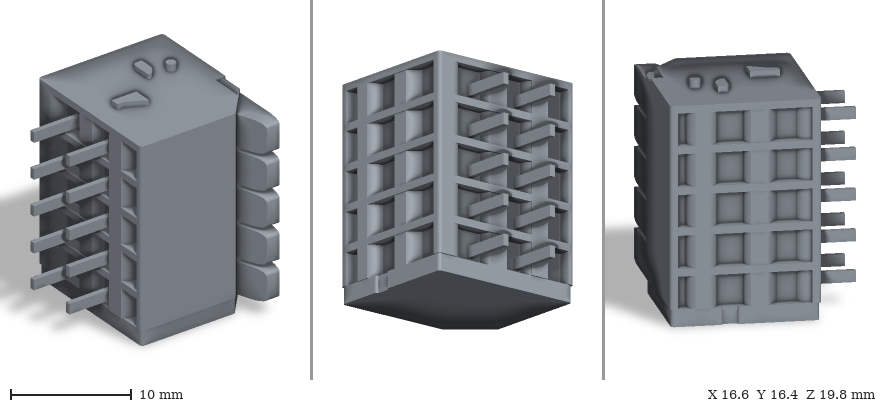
import math

import cadquery as cq


POLES = 5
PITCH = 3.5
PLATE = 0.65
WINDOW = PITCH - PLATE
WIDTH = 14.5
DEPTH = 12.75
BASE_HEIGHT = 1.5
CORNER_RADIUS = 0.3
SLOPE_START_X = 10.9
SLOPE_END_Y = 9.65
SIDE_INSET = 0.1
FRONT_INSET = 0.15
STACK_HEIGHT = POLES * PITCH
TOP = BASE_HEIGHT + STACK_HEIGHT

WALL_CENTRE_DEPTH = 1.0
WALL_RADIUS = 1.08
WIDE_WALL_RADIUS = WALL_CENTRE_DEPTH
FLOOR_FILLET = 0.13
POCKET_DEPTH = WALL_CENTRE_DEPTH + FLOOR_FILLET
OVERSHOOT = 0.5

FRONT_POCKET_LEFT = 1.54
FRONT_LAND_START = 5.64
FRONT_LAND_END = 7.38
FRONT_POCKET_RIGHT = 9.98
CORNER_POCKET_LEFT = 11.69
CORNER_POCKET_RIGHT = 13.9

REAR_POCKET_START = 0.65
REAR_POCKET_END = 2.17
SIDE_POCKET_START = 3.38
SIDE_LAND_START = 6.82
SIDE_LAND_END = 8.29
SIDE_POCKET_END = 11.96
SLANT_ANGLE = 51.5
SHOULDER_RADIUS = 1.12
SHOULDER_TOP_DEPTH = 0.45
SHOULDER_FILLET = 0.15

SLOT_Y_MIN = 6.77
SLOT_Y_MAX = 8.54
SLOT_DEPTH = 0.25

PIN_COUNT = 2
PIN_WIDTH = 0.5
PIN_HEIGHT = 1.0
PIN_LENGTH = 3.6
PIN_FIRST_X = 4.17
PIN_SPACING = 5.0
PIN_BELOW_POLE_TOP = 2.48
PIN_ANCHOR = 1.0

LEVER_TIP_X = 16.58
LEVER_HEIGHT = 3.1
LEVER_ROOT_X = 9.5
LEVER_HEEL = (13.72, 10.4)
LEVER_TIP_Y = 11.45
LEVER_CROWN_X = 15.1
LEVER_CROWN_RADIUS = 3.5
LEVER_CROWN_ANGLE = 18
LEVER_NOSE_RADIUS = 0.45
LEVER_NOSE_ANGLE = 70
LEVER_TIP_FILLET = 0.2

STUD_DIAMETER = 0.9
STUD_HEIGHT = 0.75
STUD_CENTRE = (5.38, 9.68)
BOSS_HEIGHT = 0.55

LEAF_LEFT = 3.45
LEAF_RIGHT = 5.7
LEAF_BOTTOM = 7.14
LEAF_TOP = 8.1
LEAF_CURVE_X = 4.7
LEAF_CURVE_MIDDLE = (5.27, 7.86)
LEAF_TIP_Y = 7.45
LEAF_CORNER_RADIUS = 0.4
LEAF_TIP_RADIUS = 0.12

WEDGE_LEFT = 7.44
WEDGE_RIGHT = 9.24
WEDGE_FOOT_RIGHT = 8.28
WEDGE_BOTTOM = 2.12
WEDGE_FOOT_TOP = 2.84
WEDGE_TOP = 4.66

GRIP_START_X = 8.87
GRIP_SECTION = [(0, 0.31), (0.3, 0.1), (0.46, 0.2), (0.7, 0.31), (0.88, 0.31), (1.08, 0.15), (1.08, 0)]


def housing_outline(left, front, right, back):
    """Closed plan outline of the housing with its sloped corner."""
    return (
        cq.Workplane("XY")
        .moveTo(left, front)
        .lineTo(right, front)
        .lineTo(right, SLOPE_END_Y)
        .lineTo(SLOPE_START_X, back)
        .lineTo(left, back)
        .close()
    )


def housing_block(height, left, front, right, back):
    """Housing outline extruded upwards, with its three square corners rounded."""
    block = housing_outline(left, front, right, back).extrude(height)
    for x, y in ((left, front), (right, front), (left, back)):
        block = block.edges(cq.selectors.NearestToPointSelector((x, y, height / 2))).fillet(CORNER_RADIUS)
    return block




def arc_segment(centre, radius, start_angle, end_angle):
    """Arc around centre, with its angles measured from the outward face normal towards +u."""
    points = []
    for angle in (start_angle, (start_angle + end_angle) / 2, end_angle):
        a = math.radians(angle)
        points.append((centre[0] + radius * math.sin(a), centre[1] - radius * math.cos(a)))
    return tuple(points)


def floor_fillet(u):
    """Concave fillet between an upright wall at u and the pocket floor."""
    return arc_segment((u + FLOOR_FILLET, WALL_CENTRE_DEPTH), FLOOR_FILLET, 270, 180)


def straight_wall():
    """Upright wall with a filleted foot."""
    return [((0, -OVERSHOOT), (0, WALL_CENTRE_DEPTH)), floor_fillet(0)]


def rounded_wall(start_depth, radius=WALL_RADIUS):
    """Convex wall: upright down to start_depth, then curving until it is upright again."""
    start_angle = math.degrees(math.acos((WALL_CENTRE_DEPTH - start_depth) / radius))
    centre_u = -radius * math.sin(math.radians(start_angle))
    curve = arc_segment((centre_u, WALL_CENTRE_DEPTH), radius, start_angle, 90)
    return [((0, -OVERSHOOT), curve[0]), curve, floor_fillet(centre_u + radius)]


def slanted_wall(start_depth):
    """Convex rounding that runs out into a slanted plane down to the floor."""
    start_angle = math.degrees(math.acos((WALL_CENTRE_DEPTH - start_depth) / WALL_RADIUS))
    centre_u = -WALL_RADIUS * math.sin(math.radians(start_angle))
    curve = arc_segment((centre_u, WALL_CENTRE_DEPTH), WALL_RADIUS, start_angle, SLANT_ANGLE)
    slant_u, slant_depth = curve[-1]
    foot_u = slant_u + (POCKET_DEPTH - slant_depth) / math.tan(math.radians(SLANT_ANGLE))
    return [((0, -OVERSHOOT), curve[0]), curve, (curve[-1], (foot_u, POCKET_DEPTH))]


def shoulder_wall():
    """Upright wall, small fillet, then a convex shoulder that falls to the floor."""
    fillet = arc_segment(
        (SHOULDER_FILLET, SHOULDER_TOP_DEPTH - SHOULDER_FILLET), SHOULDER_FILLET, 270, 180
    )
    centre_depth = SHOULDER_TOP_DEPTH + SHOULDER_RADIUS
    end_angle = math.degrees(math.acos((centre_depth - POCKET_DEPTH) / SHOULDER_RADIUS))
    shoulder = arc_segment((SHOULDER_FILLET, centre_depth), SHOULDER_RADIUS, 0, end_angle)
    return [((0, -OVERSHOOT), fillet[0]), fillet, shoulder]


def pocket_cutter(start, end, start_wall, end_wall, to_plan):
    """Pocket between two walls; to_plan turns (u, v) on a face into (x, y)."""
    down = [[(start + u, v) for u, v in segment] for segment in start_wall]
    up = [[(end - u, v) for u, v in reversed(segment)] for segment in reversed(end_wall)]
    floor = [down[-1][-1], up[0][0]]
    section = cq.Workplane("XY").moveTo(*to_plan(*down[0][0]))
    for segment in down + [floor] + up:
        points = [to_plan(u, v) for u, v in segment[1:]]
        section = section.lineTo(*points[0]) if len(points) == 1 else section.threePointArc(*points)
    return section.close().extrude(WINDOW)


def land_cutter(start, end, inset, to_plan):
    """Shallow recess between two neighbouring pockets."""
    corners = [(start, -OVERSHOOT), (end, -OVERSHOOT), (end, inset), (start, inset)]
    return cq.Workplane("XY").polyline([to_plan(u, v) for u, v in corners]).close().extrude(WINDOW)


def on_front(u, v):
    """Plan point on the -Y face: u runs towards +X."""
    return u, v


def on_side(u, v):
    """Plan point on the -X face: u runs from the +Y side towards -Y."""
    return v, DEPTH - u


def pole():
    """One pole of the housing with its lower face at Z = 0."""
    front_land = rounded_wall(FRONT_INSET)
    side_land = rounded_wall(SIDE_INSET)
    wide = rounded_wall(0, WIDE_WALL_RADIUS)
    flush = rounded_wall(0)
    cutters = [
        pocket_cutter(FRONT_POCKET_LEFT, FRONT_LAND_START, wide, front_land, on_front),
        pocket_cutter(FRONT_LAND_END, FRONT_POCKET_RIGHT, front_land, front_land, on_front),
        pocket_cutter(CORNER_POCKET_LEFT, CORNER_POCKET_RIGHT, front_land, straight_wall(), on_front),
        land_cutter(FRONT_LAND_START, FRONT_LAND_END, FRONT_INSET, on_front),
        pocket_cutter(REAR_POCKET_START, REAR_POCKET_END, straight_wall(), flush, on_side),
        pocket_cutter(SIDE_POCKET_START, SIDE_LAND_START, flush, side_land, on_side),
        pocket_cutter(SIDE_LAND_END, SIDE_POCKET_END, slanted_wall(SIDE_INSET), shoulder_wall(), on_side),
        land_cutter(SIDE_LAND_START, SIDE_LAND_END, SIDE_INSET, on_side),
    ]
    block = housing_block(PITCH, 0, 0, WIDTH, DEPTH)
    for cutter in cutters:
        block = block.cut(cutter)
    for i in range(PIN_COUNT):
        block = block.union(pin(PIN_FIRST_X + i * PIN_SPACING))
    return block.union(lever())


def pin(x):
    """Solder pin leaving the pocket floor towards -Y."""
    length = PIN_LENGTH + POCKET_DEPTH + PIN_ANCHOR
    centre_y = POCKET_DEPTH + PIN_ANCHOR - length / 2
    blank = cq.Workplane("XY").box(PIN_WIDTH, length, PIN_HEIGHT)
    return blank.translate((x, centre_y, PITCH - PIN_BELOW_POLE_TOP))


def lever():
    """Actuating lever: a tapered plan outline cut to a rounded tip in side profile."""
    plan = (
        cq.Workplane("XY")
        .moveTo(LEVER_ROOT_X, DEPTH)
        .lineTo(LEVER_TIP_X, DEPTH)
        .lineTo(LEVER_TIP_X, LEVER_TIP_Y)
        .lineTo(*LEVER_HEEL)
        .close()
        .extrude(LEVER_HEIGHT)
        .edges("|Z and >X")
        .fillet(LEVER_TIP_FILLET)
    )
    half = LEVER_HEIGHT / 2
    crown = arc_segment((LEVER_CROWN_X, LEVER_CROWN_RADIUS - half), LEVER_CROWN_RADIUS, 0, LEVER_CROWN_ANGLE)
    nose_start = math.radians(LEVER_CROWN_ANGLE)
    nose_centre = (
        crown[-1][0] - LEVER_NOSE_RADIUS * math.sin(nose_start),
        crown[-1][1] + LEVER_NOSE_RADIUS * math.cos(nose_start),
    )
    nose = arc_segment(nose_centre, LEVER_NOSE_RADIUS, LEVER_CROWN_ANGLE, LEVER_NOSE_ANGLE)
    nose_end_x, nose_end_z = nose[-1]
    profile = (
        cq.Workplane("XZ")
        .moveTo(LEVER_ROOT_X, half)
        .lineTo(LEVER_CROWN_X, half)
        .threePointArc(*[(x, -z) for x, z in crown[1:]])
        .threePointArc(*[(x, -z) for x, z in nose[1:]])
        .threePointArc((LEVER_TIP_X, 0), (nose_end_x, nose_end_z))
        .threePointArc(nose[1], nose[0])
        .threePointArc(crown[1], crown[0])
        .lineTo(LEVER_ROOT_X, -half)
        .close()
        .extrude(-DEPTH)
    )
    return plan.intersect(profile.translate((0, 0, half))).translate((0, 0, WINDOW - LEVER_HEIGHT))


def base():
    """Lower closing plate with a shallow upright slot, rounded at both flanks, in its -X face."""
    block = housing_block(BASE_HEIGHT, SIDE_INSET, FRONT_INSET, WIDTH - SIDE_INSET, DEPTH - SIDE_INSET)
    slot = cq.Workplane("XY").box(SLOT_DEPTH, SLOT_Y_MAX - SLOT_Y_MIN, BASE_HEIGHT, centered=False)
    slot = slot.translate((SIDE_INSET, SLOT_Y_MIN, 0))
    for flank_y in (SLOT_Y_MIN, SLOT_Y_MAX):
        rounding = cq.Workplane("XY").center(SIDE_INSET + SLOT_DEPTH, flank_y).circle(SLOT_DEPTH)
        slot = slot.cut(rounding.extrude(BASE_HEIGHT))
    return block.cut(slot)


def stud():
    """Round locating stud."""
    return cq.Workplane("XY").center(*STUD_CENTRE).circle(STUD_DIAMETER / 2).extrude(STUD_HEIGHT)


def leaf_boss():
    """Boss with a curved slope towards +X and rounded lower corners."""
    return (
        cq.Workplane("XY")
        .moveTo(LEAF_LEFT, LEAF_TOP)
        .lineTo(LEAF_CURVE_X, LEAF_TOP)
        .threePointArc(LEAF_CURVE_MIDDLE, (LEAF_RIGHT, LEAF_TIP_Y))
        .lineTo(LEAF_RIGHT, LEAF_BOTTOM)
        .lineTo(LEAF_LEFT, LEAF_BOTTOM)
        .close()
        .extrude(BOSS_HEIGHT)
        .edges("|Z and <X and <Y")
        .fillet(LEAF_CORNER_RADIUS)
        .edges(cq.selectors.NearestToPointSelector((LEAF_RIGHT, LEAF_BOTTOM, BOSS_HEIGHT / 2)))
        .fillet(LEAF_TIP_RADIUS)
    )


def wedge_boss():
    """Boss whose +X side slants outwards above a narrow foot."""
    return (
        cq.Workplane("XY")
        .moveTo(WEDGE_LEFT, WEDGE_BOTTOM)
        .lineTo(WEDGE_FOOT_RIGHT, WEDGE_BOTTOM)
        .lineTo(WEDGE_FOOT_RIGHT, WEDGE_FOOT_TOP)
        .lineTo(WEDGE_RIGHT, WEDGE_TOP)
        .lineTo(WEDGE_LEFT, WEDGE_TOP)
        .close()
        .extrude(BOSS_HEIGHT)
    )


def grip_notch():
    """Faceted groove along X in the upper +Y edge, running out through the sloped corner."""
    section = [(DEPTH - back, TOP - depth) for back, depth in GRIP_SECTION]
    section.append((DEPTH, TOP))
    length = WIDTH - GRIP_START_X
    return cq.Workplane("YZ").polyline(section).close().extrude(length).translate((GRIP_START_X, 0, 0))


def terminal_block():
    """Base, stacked poles and the features of the top face as one solid."""
    block = base()
    for i in range(POLES):
        block = block.union(pole().translate((0, 0, BASE_HEIGHT + i * PITCH)))
    for feature in (stud(), leaf_boss(), wedge_boss()):
        block = block.union(feature.translate((0, 0, TOP)))
    return block.cut(grip_notch())


result = terminal_block()